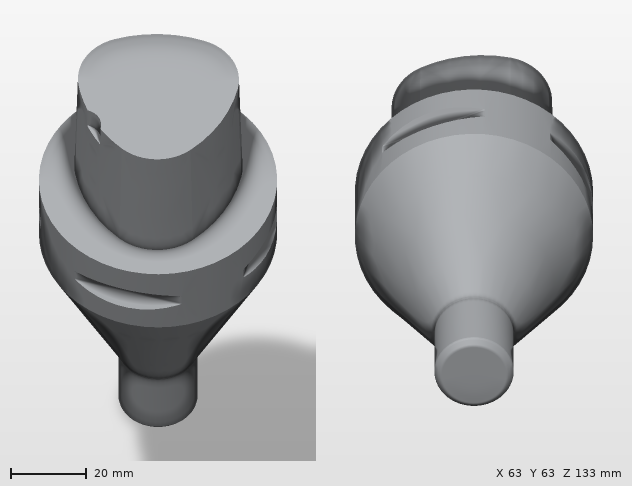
import cadquery as cq
import math

SHANK_LENGTH = 38.0
SHANK_TAPER_PER_SIDE = 1 / 40
LOBE_TIP_DISTANCE = 23.4
LOBE_RADIUS = 14.8
FLAT_SIDE_DISTANCE = 20.35
LOBE_COUNT = 3
FIRST_LOBE_ANGLE = 90.0

COLLAR_DIAMETER = 63.0
COLLAR_HEIGHT = 23.0
BODY_LENGTH = 95.0
PIN_DIAMETER = 21.0
PIN_LENGTH = 22.5
PIN_CHAMFER = 1.6
PIN_CHAMFER_ROUNDING = 1.0
PIN_ROOT_FILLET = 2.0

GROOVE_COUNT = 4
GROOVE_FIRST_ANGLE = 45.0
GROOVE_DROP = 12.0
GROOVE_FLOOR_WIDTH = 3.4
GROOVE_FLOOR_DISTANCE = 27.85
GROOVE_FLANK_ANGLE = 30.0
GROOVE_FLOOR_FILLET = 0.5

NOTCH_RADIUS = 5.0
NOTCH_DEPTH = 1.6
NOTCH_HEIGHT = 6.5

MARGIN = 1.0


def polar_point(distance, degrees):
    """Point at a distance and angle from the axis."""
    angle = math.radians(degrees)
    return distance * math.cos(angle), distance * math.sin(angle)


def circles_between(body, low, high):
    """Circular edges of the body that lie between two heights."""
    reach = COLLAR_DIAMETER
    band = cq.selectors.BoxSelector((-reach, -reach, low), (reach, reach, high))
    return body.edges("%CIRCLE").edges(band)


def make_body():
    """Collar, cone and pin as one turned shape, with the pin edges rounded."""
    collar_radius = COLLAR_DIAMETER / 2
    pin_radius = PIN_DIAMETER / 2
    pin_top = PIN_LENGTH - BODY_LENGTH
    chamfer_top = PIN_CHAMFER - BODY_LENGTH
    body = (
        cq.Workplane("XZ")
        .lineTo(collar_radius, 0)
        .lineTo(collar_radius, -COLLAR_HEIGHT)
        .lineTo(pin_radius, pin_top)
        .lineTo(pin_radius, chamfer_top)
        .lineTo(pin_radius - PIN_CHAMFER, -BODY_LENGTH)
        .lineTo(0, -BODY_LENGTH)
        .close()
        .revolve(360, (0, 0, 0), (0, 1, 0))
    )
    body = circles_between(body, pin_top - MARGIN, pin_top + MARGIN).fillet(PIN_ROOT_FILLET)
    chamfer_edges = circles_between(body, -BODY_LENGTH - MARGIN, chamfer_top + MARGIN)
    return chamfer_edges.fillet(PIN_CHAMFER_ROUNDING)


def lobe_joint():
    """Distance from the axis, and angle off the lobe, of the point where a lobe arc meets a side arc."""
    lobe_center = LOBE_TIP_DISTANCE - LOBE_RADIUS
    gap = FLAT_SIDE_DISTANCE - LOBE_RADIUS
    side_center = (lobe_center**2 - gap**2) / (2 * gap - lobe_center)
    side_radius = side_center + FLAT_SIDE_DISTANCE
    half_pitch = math.pi / LOBE_COUNT
    lobe_across = lobe_center * math.sin(half_pitch)
    lobe_along = lobe_center * math.cos(half_pitch)
    side_half_angle = math.atan2(lobe_across, side_center + lobe_along)
    joint_across = side_radius * math.sin(side_half_angle)
    joint_along = side_radius * math.cos(side_half_angle) - side_center
    off_side = math.atan2(joint_across, joint_along)
    return math.hypot(joint_across, joint_along), math.degrees(half_pitch - off_side)


def make_shank():
    """Tapered shank whose section is three lobe arcs joined by three flatter side arcs."""
    joint_distance, joint_angle = lobe_joint()
    pitch = 360 / LOBE_COUNT
    outline = cq.Workplane("XY").moveTo(*polar_point(joint_distance, FIRST_LOBE_ANGLE - joint_angle))
    for index in range(LOBE_COUNT):
        lobe_angle = FIRST_LOBE_ANGLE + index * pitch
        outline = outline.threePointArc(
            polar_point(LOBE_TIP_DISTANCE, lobe_angle),
            polar_point(joint_distance, lobe_angle + joint_angle),
        )
        outline = outline.threePointArc(
            polar_point(FLAT_SIDE_DISTANCE, lobe_angle + pitch / 2),
            polar_point(joint_distance, lobe_angle + pitch - joint_angle),
        )
    return outline.close().extrude(SHANK_LENGTH, taper=math.degrees(math.atan(SHANK_TAPER_PER_SIDE)))


def make_groove(angle):
    """Trapezoidal groove with a flat floor, cut across the collar at the given angle."""
    outer = COLLAR_DIAMETER / 2 + MARGIN
    flare = (outer - GROOVE_FLOOR_DISTANCE) * math.tan(math.radians(GROOVE_FLANK_ANGLE))
    floor_half = GROOVE_FLOOR_WIDTH / 2
    return (
        cq.Workplane("XZ")
        .moveTo(GROOVE_FLOOR_DISTANCE, -floor_half)
        .lineTo(GROOVE_FLOOR_DISTANCE, floor_half)
        .lineTo(outer, floor_half + flare)
        .lineTo(outer, -floor_half - flare)
        .close()
        .extrude(COLLAR_DIAMETER / 2, both=True)
        .faces("<X")
        .edges("|Y")
        .fillet(GROOVE_FLOOR_FILLET)
        .translate((0, 0, -GROOVE_DROP))
        .rotate((0, 0, 0), (0, 0, 1), angle)
    )


def make_notch():
    """Upright cylinder that cuts the notch from the top face downwards."""
    flat_y = SHANK_LENGTH * SHANK_TAPER_PER_SIDE - FLAT_SIDE_DISTANCE
    return (
        cq.Workplane("XY")
        .workplane(offset=SHANK_LENGTH - NOTCH_HEIGHT)
        .center(0, flat_y + NOTCH_DEPTH - NOTCH_RADIUS)
        .circle(NOTCH_RADIUS)
        .extrude(NOTCH_HEIGHT + MARGIN)
    )


result = make_body().union(make_shank()).cut(make_notch())
for index in range(GROOVE_COUNT):
    result = result.cut(make_groove(GROOVE_FIRST_ANGLE + index * 360 / GROOVE_COUNT))